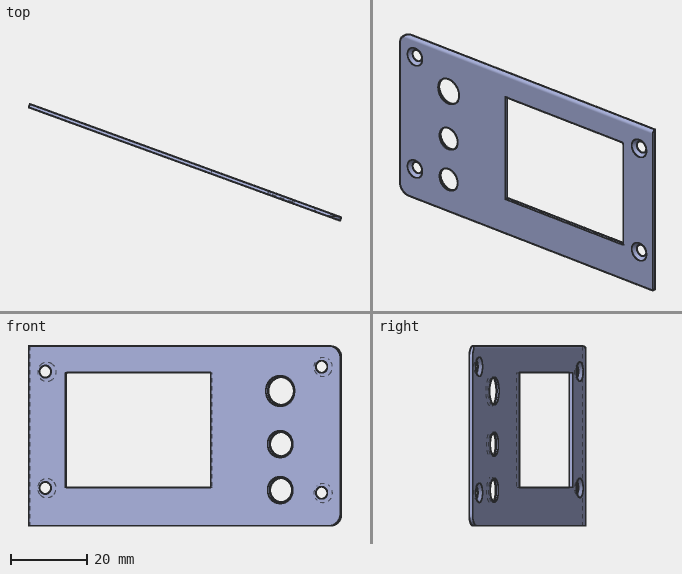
import cadquery as cq
LENGTH = 86.8
HEIGHT = 47.1
THICKNESS = 1.0
TILT = 20.0
CORNER_RADIUS = 3.0

WINDOW_LEFT = 10.15
WINDOW_BOTTOM = 10.1
WINDOW_WIDTH = 40.55
WINDOW_HEIGHT = 30.1
WINDOW_RADIUS = 0.5

SCREW_DIAMETER = 3.1
SCREW_MID_HEIGHT = 25.15
LEFT_SCREW_U = 4.7
LEFT_SCREW_SPACING = 30.5
RIGHT_SCREW_U = 81.7
RIGHT_SCREW_SPACING = 33.0

CONTROL_U = 70.1
CONTROL_CHAMFER = 0.4
LARGE_DIAMETER = 7.2
SMALL_DIAMETER = 6.2
CONTROLS = [
    (35.3, LARGE_DIAMETER),
    (21.4, SMALL_DIAMETER),
    (9.3, SMALL_DIAMETER),
]


def make_plate():
    """Plate with its front face on Y = 0, rounded right-hand corners and a rounded rear top edge."""
    plate = cq.Workplane("XY").box(LENGTH, THICKNESS, HEIGHT, centered=False)
    plate = plate.edges("|Y and >X").fillet(CORNER_RADIUS)

    section = (
        cq.Workplane("YZ")
        .lineTo(THICKNESS, 0)
        .lineTo(THICKNESS, HEIGHT - THICKNESS)
        .radiusArc((0, HEIGHT), -THICKNESS)
        .close()
        .extrude(LENGTH)
    )
    return plate.intersect(section)


def make_window():
    window = cq.Workplane("XY").box(WINDOW_WIDTH, THICKNESS, WINDOW_HEIGHT, centered=False)
    window = window.edges("|Y and <X and >Z").fillet(WINDOW_RADIUS)
    return window.translate((WINDOW_LEFT, 0, WINDOW_BOTTOM))


def make_hole(u, v, diameter):
    hole = cq.Workplane("XZ").circle(diameter / 2).extrude(-THICKNESS)
    return hole.translate((u, 0, v))


def make_screw_hole(u, v):
    """Countersunk hole: a 45 degree cone that widens from the front face to the rear face."""
    radius = SCREW_DIAMETER / 2
    cone = cq.Workplane("XZ").circle(radius)
    cone = cone.workplane(offset=-THICKNESS).circle(radius + THICKNESS).loft()
    return cone.translate((u, 0, v))


def make_control_hole(v, diameter):
    """Through hole widened by a 45 degree chamfer at the front."""
    radius = diameter / 2
    countersink = cq.Workplane("XZ").circle(radius + CONTROL_CHAMFER)
    countersink = countersink.workplane(offset=-CONTROL_CHAMFER).circle(radius).loft()
    return make_hole(CONTROL_U, v, diameter).union(countersink.translate((CONTROL_U, 0, v)))


panel = make_plate().cut(make_window())

for screw_u, spacing in [(LEFT_SCREW_U, LEFT_SCREW_SPACING), (RIGHT_SCREW_U, RIGHT_SCREW_SPACING)]:
    for side in (-1, 1):
        panel = panel.cut(make_screw_hole(screw_u, SCREW_MID_HEIGHT + side * spacing / 2))

for control_v, control_diameter in CONTROLS:
    panel = panel.cut(make_control_hole(control_v, control_diameter))

result = panel.rotate((0, 0, 0), (0, 0, 1), -TILT)